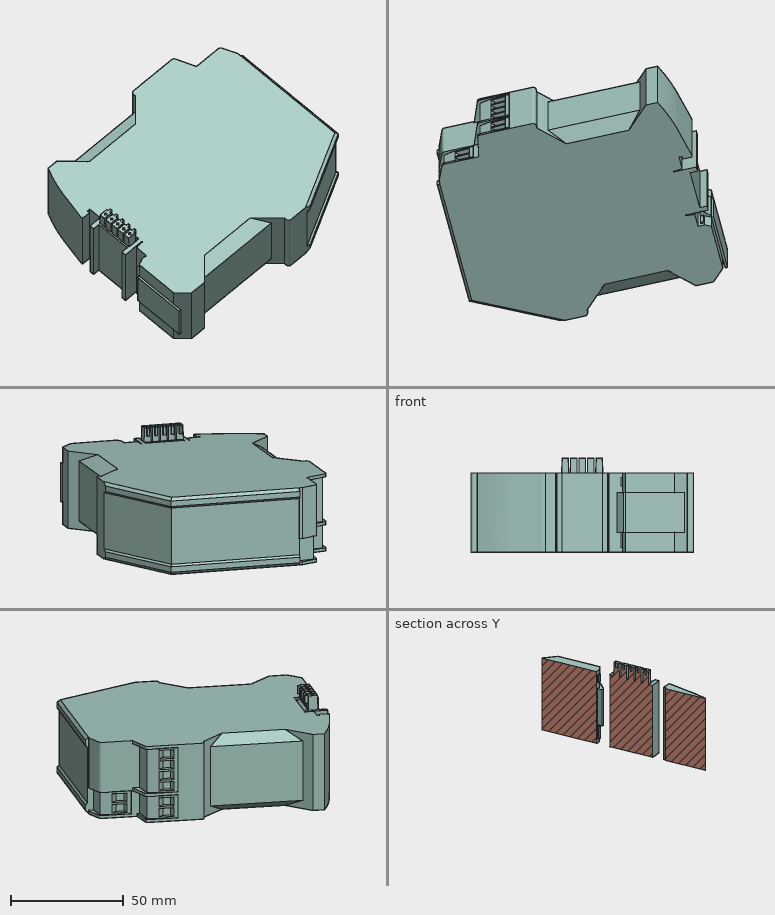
import cadquery as cq
import math

half_width = 49.5
length = 114.6
height = 35.3
total_height = 41.8

waist_half_width = 36.1
waist_y = (25.2, 53.9)
lip_half_width = 46.9
foot_y = 1.0
foot_half_width = 46.5
shoulder_y = 64.6
rail_floor_y = 6.8
rail_undercut_y = 5.5
rail_hook_x = -16.4
rail_hook_lip = 1.3
rail_wall_x = 17.9
step_x = -39.1
step_y = 95.2
step_bottom_y = 91.1
step_corner_radius = 1.6
shoulder_radius = 1.5
slant_foot_x = 40.9
slant_foot_top_y = 6.6
sole_arc = ((-foot_half_width, 9.5), (-39.5, 6.5), (-32.0, 4.2))
end_slope_start_x = -31.0
end_slope_corner = (step_x, 109.9)

cover_edge = 1.4
cover_left_x = -29.6
cover_corner_x = 30.7
cover_right_y = 78.2
cover_depth = 11.5
cover_recess_depth = 0.9
cover_rim = 4.8

panel_half_width = 42.7
panel_z_inset = 3.9

plate = 1.4
divider_z = (12.0, 13.4)
cell_pitch = 4.9
cell_height = 4.0
cell_depth = 2.3
cell_start = 1.8
cell_length = 6.8
foot_setback = 0.3
bend_setback = 0.8
crest_setback = 1.6
bend_rise = 9.3
crest_rise = 13.9
wall_rise = 15.2
clearance = 4.6
cell_end_run = 0.9
lower_terminal_y = 76.7
upper_terminal_y = 95.7
plate_step_drop = 2.1
low_cell_z = 4.0
high_cell_z = 16.2

channel_half_width = 11.3
channel_mouth_half_width = 11.8
channel_top_y = 10.9
connector_half_width = 11.1
leg_thickness = 2.2
leg_foot_y = 0.5
connector_bottom_y = 3.8
contact_count = 5
contact_pitch = 3.8
contact_width = 3.1
contact_y = (4.6, 8.8)
contact_hole = 1.1
contact_hole_depth = 2.3
contact_end_draft = 0.3
contact_root = 1.1
rib_width = 1.0
rib_reach = 1.3
rib_height = 3.7
bar_bevel = (2.0, 1.5)

latch_z = (8.8, 26.6)
lever_x = (19.3, 45.4)
hook_tip_x = 15.4
hook_tip_y = 4.2
hook_foot_x = 18.3
latch_overlap = 0.6
tab_x = (17.2, 18.6)
tab_y = (4.0, 5.5)
tab_z_ranges = ((2.1, 8.3), (29.6, 33.2))


def box(x_range, y_range, z_range):
    """Box between two limits along each axis."""
    size = (x_range[1] - x_range[0], y_range[1] - y_range[0], z_range[1] - z_range[0])
    return cq.Workplane("XY").box(*size, centered=False).translate((x_range[0], y_range[0], z_range[0]))


def prism(points, z_range):
    """Outline in the XY plane, extruded between two heights."""
    outline = cq.Workplane("XY").workplane(offset=z_range[0]).polyline(points).close()
    return outline.extrude(z_range[1] - z_range[0])


def round_corner(solid, x, y, radius):
    """Round the vertical edge nearest to a point."""
    return solid.edges("|Z").edges(cq.NearestToPointSelector((x, y, height / 2))).fillet(radius)


def cover_face(inset):
    """Left end, corner and right end of the cover face, moved inward by a distance."""
    slope = (length - cover_right_y) / (half_width - cover_corner_x)
    drop = inset * math.hypot(1, slope)
    return [
        (cover_left_x, length - inset),
        (cover_corner_x - (drop - inset) / slope, length - inset),
        (half_width, cover_right_y - drop),
    ]


cover_root = [
    (half_width, cover_right_y - cover_depth),
    (cover_corner_x - cover_depth, length - cover_depth),
    (cover_left_x, length - cover_depth),
]


def make_housing():
    """Main body with its side recesses, rail opening and stepped end."""
    _, slant_start, slant_end = cover_face(cover_edge)
    recess_run = lip_half_width - waist_half_width
    foot_top_y = waist_y[0] - (foot_half_width - waist_half_width)
    rail_foot_x = lever_x[0]
    profile = (
        cq.Workplane("XY")
        .moveTo(*sole_arc[0])
        .threePointArc(*sole_arc[1:])
        .lineTo(rail_hook_x - rail_hook_lip, foot_y)
        .lineTo(rail_hook_x, foot_y)
        .lineTo(rail_hook_x, rail_undercut_y)
        .lineTo(rail_hook_x - rail_hook_lip, rail_undercut_y)
        .lineTo(rail_hook_x - rail_hook_lip, rail_floor_y)
        .lineTo(-channel_mouth_half_width, rail_floor_y)
        .lineTo(-channel_half_width, channel_top_y)
        .lineTo(channel_half_width, channel_top_y)
        .lineTo(channel_mouth_half_width, rail_floor_y)
        .lineTo(rail_wall_x, rail_floor_y)
        .lineTo(rail_wall_x, connector_bottom_y)
        .lineTo(rail_foot_x, foot_y)
        .lineTo(slant_foot_x, foot_y)
        .lineTo(foot_half_width, slant_foot_top_y)
        .lineTo(foot_half_width, foot_top_y)
        .lineTo(waist_half_width, waist_y[0])
        .lineTo(waist_half_width, waist_y[1])
        .lineTo(lip_half_width, waist_y[1] + recess_run)
        .lineTo(half_width, shoulder_y)
        .lineTo(*slant_end)
        .lineTo(*slant_start)
        .lineTo(end_slope_start_x, length - cover_edge)
        .lineTo(*end_slope_corner)
        .lineTo(step_x, step_y)
        .lineTo(-half_width, step_bottom_y)
        .lineTo(-half_width, shoulder_y)
        .lineTo(-lip_half_width, shoulder_y)
        .lineTo(-waist_half_width, waist_y[1])
        .lineTo(-waist_half_width, waist_y[0])
        .lineTo(-foot_half_width, foot_top_y)
        .close()
    )
    housing = profile.extrude(height)
    housing = round_corner(housing, *end_slope_corner, step_corner_radius)
    housing = round_corner(housing, -half_width, step_bottom_y, step_corner_radius)
    housing = round_corner(housing, -half_width, shoulder_y, shoulder_radius)
    return round_corner(housing, half_width, shoulder_y, shoulder_radius)


def chamfered_rim(z_range, chamfers):
    """One rim of the cover, chamfered along its lower and upper outer edges."""
    rim = prism(cover_face(0) + cover_root, z_range)
    (x1, y1), (x2, y2), (x3, y3) = cover_face(0)
    for z, chamfer in zip(z_range, chamfers):
        for x, y in (((x1 + x2) / 2, (y1 + y2) / 2), ((x2 + x3) / 2, (y2 + y3) / 2)):
            rim = rim.edges(cq.NearestToPointSelector((x, y, z))).chamfer(chamfer)
    return rim


def make_cover():
    """Cover over the end and the slanted face, with a shallow label recess between two rims."""
    lower_rim = chamfered_rim((0, cover_rim), (cover_edge, cover_recess_depth))
    upper_rim = chamfered_rim((height - cover_rim, height), (cover_recess_depth, cover_edge))
    middle_z = (cover_rim / 2, height - cover_rim / 2)
    middle = prism(cover_face(cover_recess_depth) + cover_root, middle_z)
    return middle.union(lower_rim).union(upper_rim)


def add_side_panels(body):
    """Raised panel with sloped top and bottom faces in each side recess."""
    run = panel_half_width - waist_half_width
    y_range = (waist_y[0] - run, waist_y[1] + run)
    for side in (-1, 1):
        outline = [
            (side * waist_half_width, 0),
            (side * panel_half_width, panel_z_inset),
            (side * panel_half_width, height - panel_z_inset),
            (side * waist_half_width, height),
        ]
        panel = cq.Workplane("XZ", origin=(0, y_range[0], 0)).polyline(outline).close()
        body = body.union(panel.extrude(y_range[0] - y_range[1]))
    return body


def cut_terminal(body, face_x, wall_x, foot, z_range, first_cell_z, cell_count):
    """Set a terminal back between its plates and sink its wire cells."""
    clear_x = face_x - clearance
    bend = (face_x + bend_setback, foot + bend_rise)
    crest = (face_x + crest_setback, foot + crest_rise)
    foot_x = face_x + foot_setback
    wall_foot_y = foot + wall_rise
    clear_y = wall_foot_y + clearance
    setback = [
        (clear_x, foot), (foot_x, foot), bend, crest,
        (wall_x, wall_foot_y), (wall_x, clear_y), (clear_x, clear_y),
    ]
    body = body.cut(prism(setback, z_range))
    y_low = foot + cell_start
    y_high = y_low + cell_length
    floor_x = bend[0] + cell_depth
    cell = [
        (clear_x, y_low), (foot_x, y_low), (floor_x, y_low + cell_end_run),
        (floor_x, y_high - cell_depth), (bend[0], y_high), (clear_x, y_high),
    ]
    for index in range(cell_count):
        middle = first_cell_z + index * cell_pitch
        body = body.cut(prism(cell, (middle - cell_height / 2, middle + cell_height / 2)))
    return body


def cut_terminals(body):
    """Two terminals in the lower band and one long terminal above them."""
    low_band = (plate, divider_z[0])
    high_band = (divider_z[1], height - plate)
    body = cut_terminal(body, -half_width, step_x, lower_terminal_y, low_band, low_cell_z, 2)
    body = cut_terminal(body, -half_width, step_x, lower_terminal_y, high_band, high_cell_z, 4)
    body = cut_terminal(body, step_x, cover_left_x, upper_terminal_y, low_band, low_cell_z, 2)
    slope_relief = [(step_x, step_y), (-half_width, step_bottom_y), (step_x, step_y - plate_step_drop)]
    return body.cut(prism(slope_relief, (0, plate)))


def make_contact(index):
    """Upright contact block with a rib behind it and a hole in its top."""
    x = (index - (contact_count - 1) / 2) * contact_pitch
    draft = contact_end_draft if index in (0, contact_count - 1) else 0
    half_foot = (contact_width + draft) / 2
    half_top = (contact_width - draft) / 2
    outline = [
        (x - half_foot, height - contact_root), (x + half_foot, height - contact_root),
        (x + half_top, total_height), (x - half_top, total_height),
    ]
    front_plane = cq.Workplane("XZ", origin=(0, contact_y[0], 0))
    contact = front_plane.polyline(outline).close().extrude(contact_y[0] - contact_y[1])
    rib = box(
        (x - rib_width / 2, x + rib_width / 2),
        (contact_y[1], contact_y[1] + rib_reach),
        (total_height - rib_height, total_height),
    )
    middle_y = (contact_y[0] + contact_y[1]) / 2
    top = cq.Workplane("XY", origin=(x, middle_y, total_height))
    return contact.union(rib).cut(top.circle(contact_hole / 2).extrude(-contact_hole_depth))


def make_connector():
    """Rail connector: a bar on two legs, with a row of contacts on top."""
    full_height = (0, height)
    bar_x = (-connector_half_width, connector_half_width)
    connector = box(bar_x, (leg_foot_y, channel_top_y), full_height)
    gap = connector_half_width - leg_thickness
    connector = connector.cut(box((-gap, gap), (leg_foot_y, connector_bottom_y), full_height))
    run, drop = bar_bevel
    bevel = cq.Workplane("YZ", origin=(-gap, 0, 0)).polyline(
        [(channel_top_y - run, height), (channel_top_y, height), (channel_top_y, height - drop)]
    )
    connector = connector.cut(bevel.close().extrude(2 * gap))
    for index in range(contact_count):
        connector = connector.union(make_contact(index))
    return connector


def make_latch():
    """Rail latch: a flat lever with a hook, between two small tabs."""
    lever = box(lever_x, (0, foot_y), latch_z)
    hook = prism(
        [
            (hook_tip_x, rail_undercut_y), (rail_wall_x + latch_overlap, rail_undercut_y),
            (lever_x[0] + latch_overlap, foot_y), (hook_foot_x, foot_y), (hook_tip_x, hook_tip_y),
        ],
        latch_z,
    )
    latch = lever.union(hook)
    for z_range in tab_z_ranges:
        latch = latch.union(box(tab_x, tab_y, z_range))
    return latch


result = add_side_panels(make_housing().union(make_cover()))
result = cut_terminals(result)
result = result.union(make_connector()).union(make_latch())